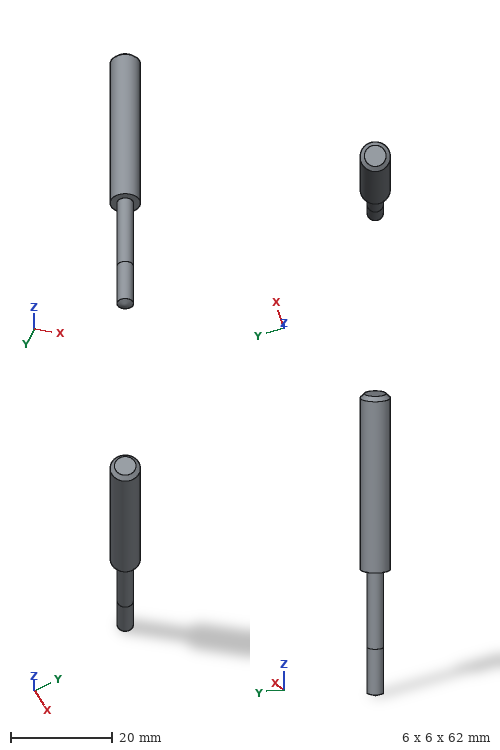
import cadquery as cq
import math

TOTAL_LENGTH = 62.0
SHANK_DIAMETER = 6.0
SHANK_LENGTH = 36.0
SHANK_CHAMFER = 0.85
TIP_DIAMETER = 3.3
TIP_LENGTH = 10.0
POINT_ANGLE = 140.0

SHANK_RADIUS = SHANK_DIAMETER / 2
TIP_RADIUS = TIP_DIAMETER / 2
POINT_HEIGHT = TIP_RADIUS / math.tan(math.radians(POINT_ANGLE / 2))
SHANK_BOTTOM = TOTAL_LENGTH - SHANK_LENGTH
NECK_LENGTH = SHANK_BOTTOM - TIP_LENGTH


def make_holder():
    """Chamfered shank with a slimmer neck that ends flush against the tip."""
    shank = (
        cq.Workplane("XY", origin=(0, 0, SHANK_BOTTOM))
        .circle(SHANK_RADIUS)
        .extrude(SHANK_LENGTH)
        .faces(">Z")
        .chamfer(SHANK_CHAMFER)
    )
    neck = (
        cq.Workplane("XY", origin=(0, 0, TIP_LENGTH))
        .circle(TIP_RADIUS)
        .extrude(NECK_LENGTH)
    )
    return shank.union(neck)


def make_tip():
    """Cylindrical tip of the neck's diameter with a conical point."""
    return (
        cq.Workplane("XZ")
        .moveTo(0, 0)
        .lineTo(TIP_RADIUS, POINT_HEIGHT)
        .lineTo(TIP_RADIUS, TIP_LENGTH)
        .lineTo(0, TIP_LENGTH)
        .close()
        .revolve(360, (0, 0, 0), (0, 1, 0))
    )


holder = make_holder()
tip = make_tip()

result = cq.Compound.makeCompound([holder.val(), tip.val()])